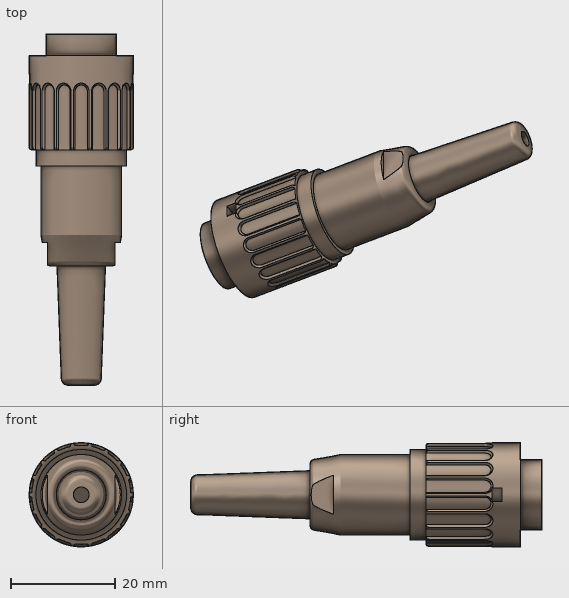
import cadquery as cq
import math


nose_radius = 13.5 / 2
flange_radius = 17.4 / 2
flange_end_at = 25.3
body_radius = 15.5 / 2
body_end_at = 38.6
cap_end_at = 44.5
cap_slope = 0.18
cap_rounding = 1.0
cap_end_radius = body_radius - cap_slope * (cap_end_at - body_end_at)
flat_start_at = 40.0
flat_width = 13.0

boot_bore_radius = 9.6 / 2
boot_base_at = 41.0
boot_tip_at = 67.4
boot_tip_radius = 3.8
boot_rounding = 1.35
cable_hole_diameter = 3.0

collar_radius = 20.0 / 2
collar_start_at = 4.1
collar_end_at = 22.2
shoulder_at = 12.0

flute_count = 18
flute_pitch = 360 / flute_count
flute_depth = 0.5
flute_floor_radius = collar_radius - flute_depth
flute_width = 3.0
flute_floor_width = 2.35
flute_tip_at = 9.8

window_start_at = 7.6
window_length = 2.0
window_width = 2.65


def turned(profile):
    """Solid of revolution about Y from (radius, distance back) points."""
    points = [(radius, -at) for radius, at in profile]
    return cq.Workplane("XY").polyline(points).close().revolve(360, (0, 0, 0), (0, 1, 0))


def cylinder(radius, start_at, end_at):
    """Cylinder about Y between two distances back."""
    return turned([(0, start_at), (radius, start_at), (radius, end_at), (0, end_at)])


def make_shell():
    """Nose, flange, body and rounded cap, with two flats and the bore around the boot."""
    shell = turned([
        (0, 0),
        (nose_radius, 0),
        (nose_radius, shoulder_at),
        (flange_radius, shoulder_at),
        (flange_radius, flange_end_at),
        (body_radius, flange_end_at),
        (body_radius, body_end_at),
        (cap_end_radius, cap_end_at),
        (0, cap_end_at),
    ])
    shell = shell.faces("<Y").edges().fillet(cap_rounding)
    flat_length = cap_end_at - flat_start_at
    flat_centre_at = (flat_start_at + cap_end_at) / 2
    side_depth = body_radius - flat_width / 2
    for side in (-1, 1):
        side_centre = side * (flat_width + side_depth) / 2
        side_cut = cq.Workplane("XY").box(side_depth, flat_length, 2 * body_radius)
        shell = shell.cut(side_cut.translate((side_centre, -flat_centre_at, 0)))
    return shell.cut(cylinder(boot_bore_radius, boot_base_at, cap_end_at))


def make_boot():
    """Tapered boot with a rounded tip and a cable hole along its axis."""
    boot = turned([
        (0, boot_base_at),
        (boot_bore_radius, boot_base_at),
        (boot_tip_radius, boot_tip_at),
        (0, boot_tip_at),
    ])
    boot = boot.faces("<Y").edges().fillet(boot_rounding)
    return boot.cut(cylinder(cable_hole_diameter / 2, boot_base_at, boot_tip_at))


def make_core():
    """The shell and the boot, which are one solid joined at the floor of the bore."""
    return make_shell().union(make_boot())


def make_flute_cutter():
    """Round-ended groove with sloping walls at the top of the collar, open at its back end."""
    floor_edge_height = math.sqrt(flute_floor_radius**2 - (flute_floor_width / 2) ** 2)
    surface_edge_height = math.sqrt(collar_radius**2 - (flute_width / 2) ** 2)
    wall_run = (flute_width - flute_floor_width) / 2
    wall_slope = math.degrees(math.atan2(wall_run, surface_edge_height - floor_edge_height))
    half_floor = flute_floor_width / 2
    arc_start = -(flute_tip_at + half_floor)
    open_end = -(collar_end_at + flute_width)
    groove = (
        cq.Workplane("XY", origin=(0, 0, floor_edge_height))
        .moveTo(-half_floor, open_end)
        .lineTo(half_floor, open_end)
        .lineTo(half_floor, arc_start)
        .threePointArc((0, -flute_tip_at), (-half_floor, arc_start))
        .close()
        .extrude(collar_radius + flute_depth - floor_edge_height, taper=-wall_slope)
    )
    return groove.cut(cylinder(flute_floor_radius, 0, -open_end + flute_width))


def make_collar():
    """Locking collar: stepped bore, flutes around the outside and two windows."""
    collar = cylinder(collar_radius, collar_start_at, collar_end_at)
    collar = collar.faces("<Y").edges().fillet(flute_depth)
    flute_cutter = make_flute_cutter()
    for index in range(flute_count):
        collar = collar.cut(flute_cutter.rotate((0, 0, 0), (0, 1, 0), index * flute_pitch))
    window_centre_at = window_start_at + window_length / 2
    windows = cq.Workplane("XY").box(2 * collar_radius, window_length, window_width)
    collar = collar.cut(windows.translate((0, -window_centre_at, 0)))
    collar = collar.cut(cylinder(nose_radius, collar_start_at, shoulder_at))
    return collar.cut(cylinder(flange_radius, shoulder_at, collar_end_at))


core = make_core()
collar = make_collar()

result = cq.Compound.makeCompound([core.val(), collar.val()])